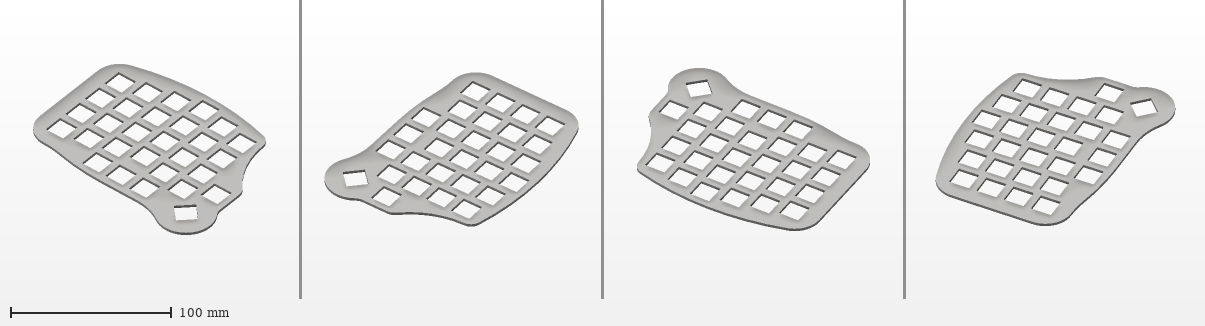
import cadquery as cq
import math


LENGTH = 148.5
DEPTH = 113.8
THICKNESS = 2.0

LOBE_RADIUS = 19.5
LOBE = (LENGTH - LOBE_RADIUS, LOBE_RADIUS)

TOP_RADIUS = 193.1
TOP = (67.6, DEPTH - TOP_RADIUS)

CORNER_RADIUS = 17.8
FRONT_LEFT = (CORNER_RADIUS, 32.2)

BOTTOM_Y = 8.9
STRAIGHT_START_X = 68.8
STRAIGHT_END_X = 98.0
S_CURVE_FIRST_SHARE = 0.29

RIGHT_EDGE_X = 143.6
FLANK_RADIUS = 59.4
FLANK = (184.5, 100.4)
BACK_RIGHT_RADIUS = 8.0
ELBOW_RADIUS = 8.9
NECK_RADIUS = 8.0

CUTOUT = 14.0
PITCH = 19.0
MIDDLE_X = 75.0
FRONT_ROW_Y = 21.4
FRONT_ROW_COLUMNS = (-1, 0, 1)
ROWS_PER_COLUMN = 4
COLUMN_STARTS = {
    -3: 32.0,
    -2: 35.7,
    -1: FRONT_ROW_Y + PITCH,
    0: 44.9,
    1: FRONT_ROW_Y + PITCH,
    2: 35.7,
}
INNER_KEY_COLUMN = 3
INNER_KEY_Y = 45.2
LOBE_KEY_ANGLE = 45.0


def toward(start, target, distance):
    """Point at a distance from start along the direction to target."""
    share = distance / math.dist(start, target)
    return tuple(a + (b - a) * share for a, b in zip(start, target))


def leg(hypotenuse, other_leg):
    """Remaining leg of a right triangle."""
    return math.sqrt(hypotenuse**2 - other_leg**2)


def left_of_line(first, first_distance, second, second_distance):
    """Point at given distances from two points, left of the line from first to second."""
    span = math.dist(first, second)
    along = (span**2 + first_distance**2 - second_distance**2) / (2 * span)
    aside = leg(first_distance, along)
    foot_x, foot_y = toward(first, second, along)
    unit_x = (second[0] - first[0]) / span
    unit_y = (second[1] - first[1]) / span
    return (foot_x - unit_y * aside, foot_y + unit_x * aside)


def arc_middle(center, radius, start, end):
    """Middle of the shorter arc between two points of a circle."""
    chord_middle = ((start[0] + end[0]) / 2, (start[1] + end[1]) / 2)
    return toward(center, chord_middle, radius)


def make_plate():
    back_left_x = CORNER_RADIUS
    back_left_y = TOP[1] + leg(TOP_RADIUS - CORNER_RADIUS, TOP[0] - back_left_x)
    back_left = (back_left_x, back_left_y)
    back_right = left_of_line(
        TOP, TOP_RADIUS - BACK_RIGHT_RADIUS, FLANK, FLANK_RADIUS + BACK_RIGHT_RADIUS
    )
    elbow_x = RIGHT_EDGE_X - ELBOW_RADIUS
    elbow = (elbow_x, FLANK[1] - leg(FLANK_RADIUS + ELBOW_RADIUS, FLANK[0] - elbow_x))
    neck_x = RIGHT_EDGE_X + NECK_RADIUS
    neck = (neck_x, LOBE[1] + leg(LOBE_RADIUS + NECK_RADIUS, neck_x - LOBE[0]))

    left_front = (0, FRONT_LEFT[1])
    left_back = (0, back_left[1])
    top_left = toward(TOP, back_left, TOP_RADIUS)
    top_right = toward(TOP, back_right, TOP_RADIUS)
    flank_back = toward(FLANK, back_right, FLANK_RADIUS)
    flank_front = toward(FLANK, elbow, FLANK_RADIUS)
    edge_back = (RIGHT_EDGE_X, elbow[1])
    edge_front = (RIGHT_EDGE_X, neck[1])
    lobe_right = toward(LOBE, neck, LOBE_RADIUS)
    lobe_tip = (LENGTH, LOBE[1])

    rise = LOBE[1] - BOTTOM_Y
    reach = LOBE[0] - STRAIGHT_END_X
    hollow_radius = (reach**2 + rise**2 - LOBE_RADIUS**2) / (2 * (LOBE_RADIUS - rise))
    hollow = (STRAIGHT_END_X, BOTTOM_Y - hollow_radius)
    lobe_left = toward(LOBE, hollow, LOBE_RADIUS)
    straight_end = (STRAIGHT_END_X, BOTTOM_Y)
    straight_start = (STRAIGHT_START_X, BOTTOM_Y)

    corner_bottom = (FRONT_LEFT[0], FRONT_LEFT[1] - CORNER_RADIUS)
    s_span = math.dist(corner_bottom, straight_start)
    s_middle = toward(corner_bottom, straight_start, s_span * S_CURVE_FIRST_SHARE)

    outline = (
        cq.Workplane("XY")
        .moveTo(*left_front)
        .lineTo(*left_back)
        .threePointArc(arc_middle(back_left, CORNER_RADIUS, left_back, top_left), top_left)
        .threePointArc(arc_middle(TOP, TOP_RADIUS, top_left, top_right), top_right)
        .threePointArc(arc_middle(back_right, BACK_RIGHT_RADIUS, top_right, flank_back), flank_back)
        .threePointArc(arc_middle(FLANK, FLANK_RADIUS, flank_back, flank_front), flank_front)
        .threePointArc(arc_middle(elbow, ELBOW_RADIUS, flank_front, edge_back), edge_back)
        .lineTo(*edge_front)
        .threePointArc(arc_middle(neck, NECK_RADIUS, edge_front, lobe_right), lobe_right)
        .threePointArc(lobe_tip, lobe_left)
        .threePointArc(arc_middle(hollow, hollow_radius, lobe_left, straight_end), straight_end)
        .lineTo(*straight_start)
        .tangentArcPoint(s_middle, relative=False)
        .tangentArcPoint(corner_bottom, relative=False)
        .threePointArc(arc_middle(FRONT_LEFT, CORNER_RADIUS, corner_bottom, left_front), left_front)
        .close()
    )
    return outline.extrude(THICKNESS)


def column_x(column):
    return MIDDLE_X + column * PITCH


def cutout_centers():
    centers = [(column_x(column), FRONT_ROW_Y) for column in FRONT_ROW_COLUMNS]
    for column, start_y in COLUMN_STARTS.items():
        for row in range(ROWS_PER_COLUMN):
            centers.append((column_x(column), start_y + row * PITCH))
    centers.append((column_x(INNER_KEY_COLUMN), INNER_KEY_Y))
    return centers


def make_cutouts():
    return cq.Workplane("XY").pushPoints(cutout_centers()).rect(CUTOUT, CUTOUT).extrude(THICKNESS)


def make_lobe_cutout():
    square = cq.Workplane("XY").rect(CUTOUT, CUTOUT).extrude(THICKNESS)
    return square.rotate((0, 0, 0), (0, 0, 1), LOBE_KEY_ANGLE).translate((*LOBE, 0))


result = make_plate().cut(make_cutouts()).cut(make_lobe_cutout())